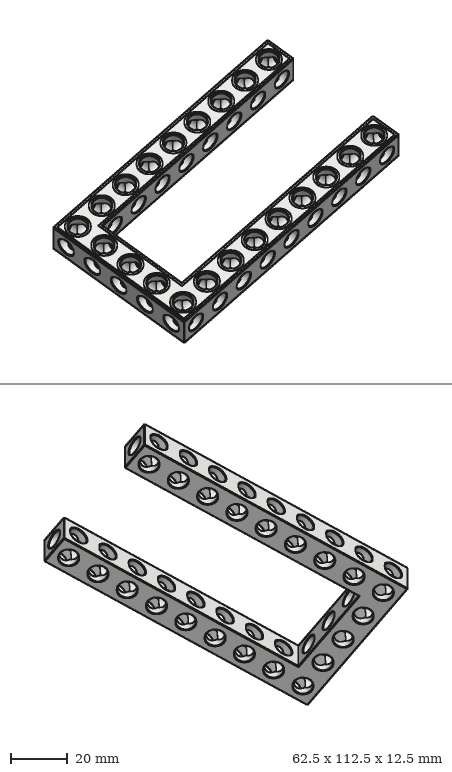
import cadquery as cq

length = 112.5
cells_x = 5
cells_y = 9
pitch = length / cells_y
width = cells_x * pitch
top = pitch / 2

chamfer = 0.3

hole_diameter = 7.0
mouth_diameter = hole_diameter + 2 * chamfer

recess_depth = 0.2
recess_inset = 1.1
ring_diameter = 9.2

columns = [(i - (cells_x - 1) / 2) * pitch for i in range(cells_x)]
rows = [(j - (cells_y - 1) / 2) * pitch for j in range(cells_y)]
leg_columns = [columns[0], columns[-1]]
base_row = rows[0]
leg_cells = [(x, y) for x in leg_columns for y in rows[1:]]
base_cells = [(x, base_row) for x in columns]
all_cells = base_cells + leg_cells


def u_outline(inset):
    """Closed U outline, one cell wide, moved inward from the frame walls by `inset`."""
    x_outer = width / 2 - inset
    x_inner = width / 2 - pitch + inset
    y_front = -length / 2 + inset
    y_base = -length / 2 + pitch - inset
    y_tip = length / 2 - inset
    return cq.Workplane("XY").polyline([
        (-x_outer, y_front),
        (x_outer, y_front),
        (x_outer, y_tip),
        (x_inner, y_tip),
        (x_inner, y_base),
        (-x_inner, y_base),
        (-x_inner, y_tip),
        (-x_outer, y_tip),
    ]).close()


def make_frame():
    """Solid U bar, chamfered on its outward vertical corners and its top and bottom edges."""
    frame = u_outline(0).extrude(top, both=True)
    frame = frame.edges("|Z and (>X or <X or >Y)").chamfer(chamfer)
    return frame.faces(">Z or <Z").edges().chamfer(chamfer)


def top_recess():
    """Cutter for the recessed panel, with the raised rings left out."""
    rings = cq.Workplane("XY").pushPoints(all_cells).circle(ring_diameter / 2).extrude(recess_depth)
    panel = u_outline(recess_inset).extrude(recess_depth).cut(rings)
    return panel.translate((0, 0, top - recess_depth))


def hole_cutter(start, direction, span):
    """Cutter for a hole of length `span`, chamfered at both mouths."""
    start = cq.Vector(*start)
    direction = cq.Vector(*direction)
    end = start + direction * span
    bore = cq.Solid.makeCylinder(hole_diameter / 2, span, start, direction)
    near_mouth = cq.Solid.makeCone(mouth_diameter / 2, hole_diameter / 2, chamfer, start, direction)
    far_mouth = cq.Solid.makeCone(mouth_diameter / 2, hole_diameter / 2, chamfer, end, -direction)
    return bore.fuse(near_mouth, far_mouth)


def cut_holes(body):
    """Drill every cell vertically and across its bar, and each bar along its length."""
    vertical = [hole_cutter((x, y, -top), (0, 0, 1), 2 * top) for x, y in all_cells]
    across_legs = [hole_cutter((x - pitch / 2, y, 0), (1, 0, 0), pitch) for x, y in leg_cells]
    across_base = [hole_cutter((x, y - pitch / 2, 0), (0, 1, 0), pitch) for x, y in base_cells[1:-1]]
    along_legs = [hole_cutter((x, -length / 2, 0), (0, 1, 0), length) for x in leg_columns]
    along_base = [hole_cutter((-width / 2, base_row, 0), (1, 0, 0), width)]
    for cutter in vertical + across_legs + across_base + along_legs + along_base:
        body = body.cut(cq.Workplane(cutter))
    return body


result = cut_holes(make_frame().cut(top_recess()))